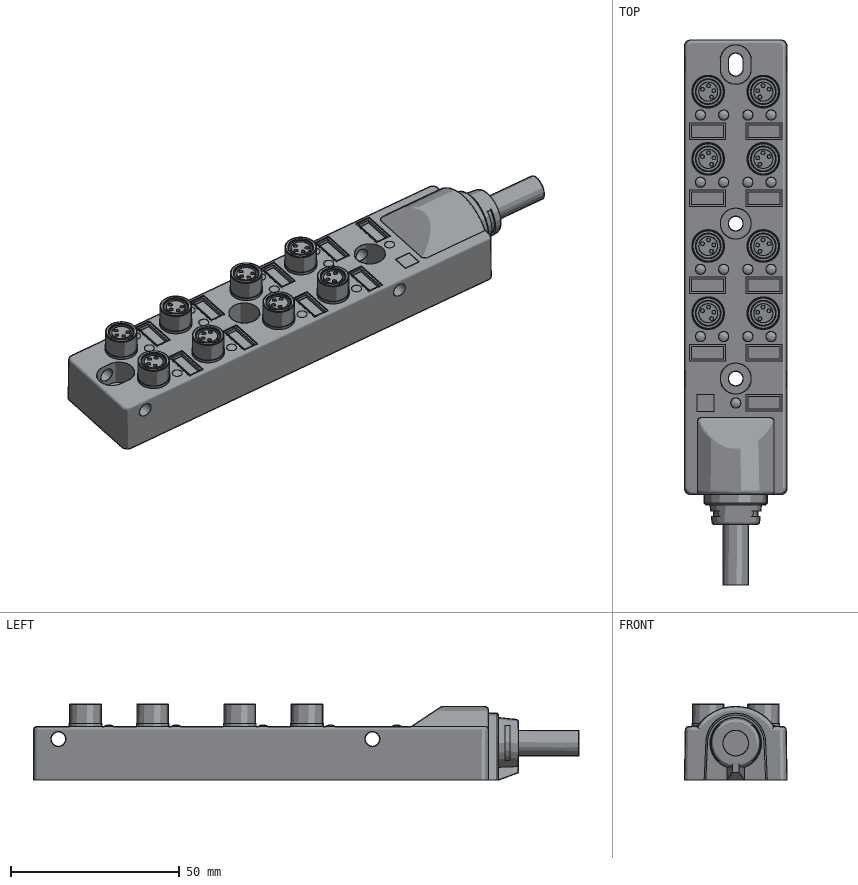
import cadquery as cq
import math

BODY_LENGTH = 135.3
BODY_HEIGHT = 15.9
BASE_WIDTH = 30.56
TOP_WIDTH = 30.0
CORNER_RADIUS = 2.0
TOP_EDGE_RADIUS = 1.0

MOUNT_HOLE_DIAMETER = 4.3
MOUNT_SEAT_DIAMETER = 9.2
MOUNT_SEAT_Z = 8.0
SLOT_Y = -7.35
SLOT_TRAVEL = 2.5
MIDDLE_HOLE_Y = -54.65
FRONT_HOLE_Y = -100.75
CROSS_HOLE_Z = 12.2

SOCKET_ROWS = (-15.4, -35.4, -61.3, -81.3)
SOCKET_X = 8.2
SOCKET_DIAMETER = 9.4
SOCKET_TOP = 22.7
SOCKET_EDGE = 0.2
COLLAR_DIAMETER = 9.7
COLLAR_HEIGHT = 0.9
BORE_DIAMETER = 7.22
BORE_MOUTH_DIAMETER = 7.6
BORE_MOUTH_DEPTH = 0.5
BORE_DEPTH = 5.0
INSERT_DIAMETER = 5.65
INSERT_RECESS = 0.4
CONTACT_DIAMETER = 1.1
CONTACT_DEPTH = 3.0
CONTACTS = ((-1.7, 0.7), (0.1, 1.8), (1.7, 0.3), (1.0, -1.6))

LAMP_DIAMETER = 3.0
LAMP_HEIGHT = 0.5
LAMP_ROW_OFFSET = 6.95
LAMP_COLUMNS = (3.6, 10.5)
STATUS_LAMP_Y = -108.0

LABEL_ROW_OFFSET = 11.75
LABEL_INNER_X = 3.0
LABEL_OUTER_X = 13.7
LABEL_WIDTH = 4.9
LABEL_LEDGE_DEPTH = 0.4
LABEL_LEDGE_WIDTH = 0.6
LABEL_DEPTH = 1.5
MARK_SIZE = 5.0
MARK_X = -9.0
MARK_DEPTH = 0.1

HUMP_TOP = 21.9
HUMP_HALF_WIDTH = 11.45
HUMP_REAR_Y = -112.3
HUMP_SLOPE_RUN = 9.0
HUMP_EDGE_RADIUS = 1.2
HUMP_BURIED_DEPTH = 2.0

AXIS_Z = 11.0
NOSE_FRONT_Y = -138.3
NOSE_RADIUS = 8.9
NOSE_BASE_HALF_WIDTH = 9.4
NOSE_EDGE = 0.5
GLAND_FRONT_Y = -144.2
GLAND_REAR_RADIUS = 7.65
GLAND_FRONT_RADIUS = 7.0
GLAND_EDGE_RADIUS = 0.8
GROOVE_REAR_Y = -140.2
GROOVE_FRONT_Y = -141.7
GROOVE_RADIUS = 6.6
GROOVE_HALF_HEIGHT = 5.2
RIB_REAR_HALF_WIDTH = 2.6
RIB_FRONT_HALF_WIDTH = 1.0
RIB_FRONT_Z = 2.2
CABLE_DIAMETER = 7.6
CABLE_END_Y = -162.15


def upright(diameter, x, y, z_low, z_high):
    """Vertical cylinder between two heights."""
    return cq.Workplane("XY", origin=(x, y, z_low)).circle(diameter / 2).extrude(z_high - z_low)


def along_cable(radius, y_rear, y_front):
    """Cylinder on the cable axis between two Y positions."""
    return cq.Workplane("XZ", origin=(0, y_rear, AXIS_Z)).circle(radius).extrude(y_rear - y_front)


def make_body():
    """Long block with sides leaning inwards and rounded corners."""
    section = [
        (-BASE_WIDTH / 2, 0),
        (BASE_WIDTH / 2, 0),
        (TOP_WIDTH / 2, BODY_HEIGHT),
        (-TOP_WIDTH / 2, BODY_HEIGHT),
    ]
    block = cq.Workplane("XZ").polyline(section).close().extrude(BODY_LENGTH)
    corners = block.edges("not (#Z or |Y)")
    return corners.fillet(CORNER_RADIUS).faces(">Z").edges().fillet(TOP_EDGE_RADIUS)


def make_hump():
    """Arched cover, ramped at the rear and rounded at both ends."""
    rise = HUMP_TOP - BODY_HEIGHT
    arch_radius = (HUMP_HALF_WIDTH**2 + rise**2) / (2 * rise)
    front_y = -BODY_LENGTH
    arch = (
        cq.Workplane("XZ", origin=(0, HUMP_REAR_Y, HUMP_TOP - arch_radius))
        .circle(arch_radius)
        .extrude(HUMP_REAR_Y - front_y)
    )
    slope = rise / HUMP_SLOPE_RUN
    keep = (
        cq.Workplane("YZ")
        .moveTo(HUMP_REAR_Y + HUMP_BURIED_DEPTH / slope, BODY_HEIGHT - HUMP_BURIED_DEPTH)
        .lineTo(HUMP_REAR_Y - 2 * HUMP_SLOPE_RUN, HUMP_TOP + rise)
        .lineTo(front_y, HUMP_TOP + rise)
        .lineTo(front_y, BODY_HEIGHT - HUMP_BURIED_DEPTH)
        .close()
        .extrude(arch_radius, both=True)
    )
    hump = arch.intersect(keep)
    return hump.edges("%CIRCLE or %ELLIPSE").fillet(HUMP_EDGE_RADIUS)


def make_nose():
    """Round-topped block on the front face, widening towards the base."""
    nose = (
        cq.Workplane("XZ", origin=(0, -BODY_LENGTH, 0))
        .moveTo(-NOSE_BASE_HALF_WIDTH, 0)
        .lineTo(-NOSE_RADIUS, AXIS_Z)
        .threePointArc((0, AXIS_Z + NOSE_RADIUS), (NOSE_RADIUS, AXIS_Z))
        .lineTo(NOSE_BASE_HALF_WIDTH, 0)
        .close()
        .extrude(-BODY_LENGTH - NOSE_FRONT_Y)
    )
    return nose.faces("<Y").edges("not <Z").chamfer(NOSE_EDGE)


def make_gland():
    """Tapered barrel with a groove on either side, a rib below it, and the cable."""
    barrel = (
        cq.Workplane("XZ", origin=(0, NOSE_FRONT_Y, AXIS_Z))
        .circle(GLAND_REAR_RADIUS)
        .workplane(offset=NOSE_FRONT_Y - GLAND_FRONT_Y)
        .circle(GLAND_FRONT_RADIUS)
        .loft()
    )
    barrel = barrel.faces("<Y").edges().fillet(GLAND_EDGE_RADIUS)
    groove_length = GROOVE_REAR_Y - GROOVE_FRONT_Y
    ring = along_cable(GLAND_REAR_RADIUS, GROOVE_REAR_Y, GROOVE_FRONT_Y)
    ring = ring.cut(along_cable(GROOVE_RADIUS, GROOVE_REAR_Y, GROOVE_FRONT_Y))
    side_band = cq.Workplane("XY").box(2 * GLAND_REAR_RADIUS, groove_length, 2 * GROOVE_HALF_HEIGHT)
    side_band = side_band.translate((0, (GROOVE_REAR_Y + GROOVE_FRONT_Y) / 2, AXIS_Z))
    barrel = barrel.cut(ring.intersect(side_band))

    rib_plan = [
        (-RIB_REAR_HALF_WIDTH, NOSE_FRONT_Y),
        (-RIB_FRONT_HALF_WIDTH, GLAND_FRONT_Y),
        (RIB_FRONT_HALF_WIDTH, GLAND_FRONT_Y),
        (RIB_REAR_HALF_WIDTH, NOSE_FRONT_Y),
    ]
    rib = cq.Workplane("XY").polyline(rib_plan).close().extrude(AXIS_Z)
    slope = [(NOSE_FRONT_Y, 0), (GLAND_FRONT_Y, 0), (GLAND_FRONT_Y, RIB_FRONT_Z)]
    under_rib = cq.Workplane("YZ").polyline(slope).close().extrude(RIB_REAR_HALF_WIDTH, both=True)

    cable = along_cable(CABLE_DIAMETER / 2, NOSE_FRONT_Y, CABLE_END_Y)
    return barrel.union(rib.cut(under_rib)).union(cable)


def make_socket(side, y):
    """Socket with a collar, an annular bore, a central insert and contact holes."""
    x = side * SOCKET_X
    socket = upright(SOCKET_DIAMETER, x, y, BODY_HEIGHT, SOCKET_TOP)
    socket = socket.faces(">Z").edges().chamfer(SOCKET_EDGE)
    socket = socket.union(upright(COLLAR_DIAMETER, x, y, BODY_HEIGHT, BODY_HEIGHT + COLLAR_HEIGHT))
    bore_floor = SOCKET_TOP - BORE_DEPTH
    insert_top = SOCKET_TOP - INSERT_RECESS
    socket = socket.cut(upright(BORE_DIAMETER, x, y, bore_floor, SOCKET_TOP))
    socket = socket.cut(upright(BORE_MOUTH_DIAMETER, x, y, SOCKET_TOP - BORE_MOUTH_DEPTH, SOCKET_TOP))
    socket = socket.union(upright(INSERT_DIAMETER, x, y, bore_floor, insert_top))
    for contact_x, contact_y in CONTACTS:
        hole_x = x - side * contact_x
        hole_y = y + contact_y
        hole = upright(CONTACT_DIAMETER, hole_x, hole_y, insert_top - CONTACT_DEPTH, insert_top)
        socket = socket.cut(hole)
    return socket


def make_lamp(x, y):
    """Shallow dome on the top face."""
    radius = LAMP_DIAMETER / 2
    sphere_radius = (radius**2 + LAMP_HEIGHT**2) / (2 * LAMP_HEIGHT)
    half_angle = math.asin(radius / sphere_radius) / 2
    middle = (
        sphere_radius * math.sin(half_angle),
        LAMP_HEIGHT - sphere_radius * (1 - math.cos(half_angle)),
    )
    dome = (
        cq.Workplane("XZ")
        .lineTo(radius, 0)
        .threePointArc(middle, (0, LAMP_HEIGHT))
        .close()
        .revolve(360, (0, 0), (0, 1))
    )
    return dome.translate((x, y, BODY_HEIGHT))


def label_pocket(side, y):
    """Rectangular pocket with a shallow ledge around its deeper floor."""
    length = LABEL_OUTER_X - LABEL_INNER_X
    x = side * (LABEL_INNER_X + LABEL_OUTER_X) / 2
    inner_length = length - 2 * LABEL_LEDGE_WIDTH
    inner_width = LABEL_WIDTH - 2 * LABEL_LEDGE_WIDTH
    top = cq.Workplane("XY", origin=(x, y, BODY_HEIGHT))
    ledge = top.rect(length, LABEL_WIDTH).extrude(-LABEL_LEDGE_DEPTH)
    return ledge.union(top.rect(inner_length, inner_width).extrude(-LABEL_DEPTH))


def mounting_cuts():
    """Seats and through holes from above, with a cross hole at each end."""
    slot_seat_length = MOUNT_SEAT_DIAMETER + SLOT_TRAVEL
    slot_hole_length = MOUNT_HOLE_DIAMETER + SLOT_TRAVEL
    seat_plane = cq.Workplane("XY", origin=(0, SLOT_Y, MOUNT_SEAT_Z))
    base_plane = cq.Workplane("XY", origin=(0, SLOT_Y, 0))
    cuts = seat_plane.slot2D(slot_seat_length, MOUNT_SEAT_DIAMETER, 90).extrude(BODY_HEIGHT - MOUNT_SEAT_Z)
    cuts = cuts.union(base_plane.slot2D(slot_hole_length, MOUNT_HOLE_DIAMETER, 90).extrude(BODY_HEIGHT))
    for y in (MIDDLE_HOLE_Y, FRONT_HOLE_Y):
        cuts = cuts.union(upright(MOUNT_SEAT_DIAMETER, 0, y, MOUNT_SEAT_Z, BODY_HEIGHT))
        cuts = cuts.union(upright(MOUNT_HOLE_DIAMETER, 0, y, 0, BODY_HEIGHT))
    for y in (SLOT_Y, FRONT_HOLE_Y):
        cross_plane = cq.Workplane("YZ", origin=(0, y, CROSS_HOLE_Z))
        cuts = cuts.union(cross_plane.circle(MOUNT_HOLE_DIAMETER / 2).extrude(BASE_WIDTH / 2, both=True))
    return cuts


result = make_body().union(make_hump()).union(make_nose()).union(make_gland())
result = result.cut(mounting_cuts())

for row_y in SOCKET_ROWS:
    for side in (-1, 1):
        result = result.cut(label_pocket(side, row_y - LABEL_ROW_OFFSET))
        result = result.union(make_socket(side, row_y))
        for column in LAMP_COLUMNS:
            result = result.union(make_lamp(side * column, row_y - LAMP_ROW_OFFSET))

result = result.union(make_lamp(0, STATUS_LAMP_Y))
result = result.cut(label_pocket(1, STATUS_LAMP_Y))
mark_plane = cq.Workplane("XY", origin=(MARK_X, STATUS_LAMP_Y, BODY_HEIGHT - MARK_DEPTH))
result = result.cut(mark_plane.rect(MARK_SIZE, MARK_SIZE).extrude(MARK_DEPTH))